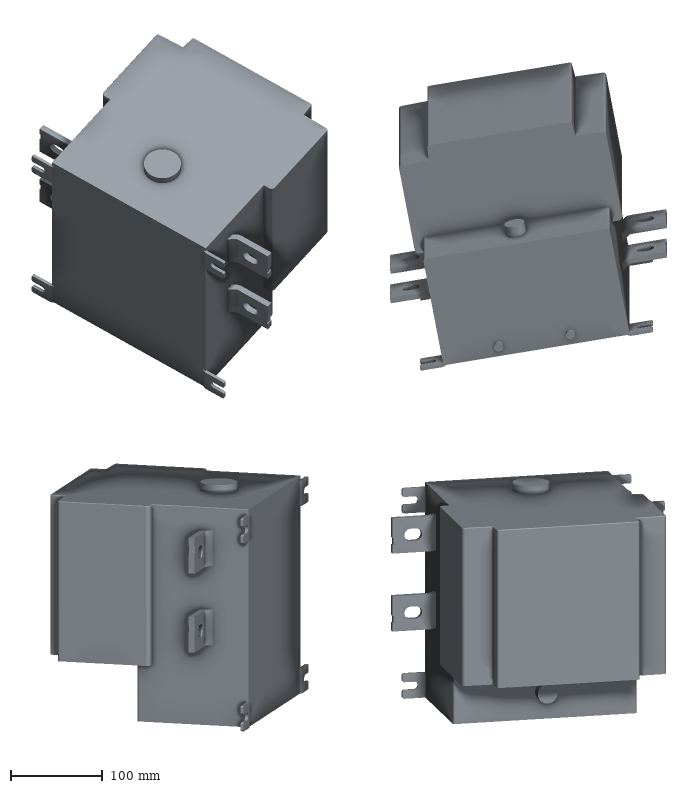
import cadquery as cq
import math

BODY_WIDTH = 206.0
BODY_HEIGHT = 241.5
BODY_FRONT = 1.8
BODY_BACK = 128.0
BODY_BACK_RADIUS = 2.5
TOP_RADIUS = 1.0

COVER_BOTTOM = 64.2
COVER_WIDTH = 229.2
COVER_FRONT = 110.3
SHOULDER_OUTER_Y = 215.2
SHOULDER_INNER_Y = 216.0
COVER_BACK = 233.2
RAISED_ROOT_WIDTH = 162.0
RAISED_BACK_WIDTH = 159.5
COVER_FRONT_RADIUS = 4.5
SHOULDER_RADIUS = 3.5
RAISED_RADIUS = 2.0

SELECTION_MARGIN = 0.3

BUTTON_DIAMETER = 40.3
BUTTON_HEIGHT = 8.5
BUTTON_Y = 64.8
KNOB_DIAMETER = 22.0
KNOB_LENGTH = 12.2
KNOB_Z = 31.0
PIN_DIAMETER = 10.0
PIN_LENGTH = 5.0
PIN_SPACING = 79.5
PIN_Y = 14.0

TERMINAL_TIP_X = 152.8
TERMINAL_BEND_X = 112.8
TERMINAL_FRONT = 48.5
TERMINAL_THICKNESS = 6.7
TERMINAL_BEND_ANGLE = 38.0
TERMINAL_BEND_RADIUS = 4.3
TERMINAL_TAIL = 13.8
TERMINAL_HEIGHT = 39.5
TERMINAL_CENTERS_Z = (109.0, 196.5)
TERMINAL_HOLE_X = 129.5
TERMINAL_HOLE_LENGTH = 19.5
TERMINAL_HOLE_HEIGHT = 14.0
TIP_NOTCH_DEPTH = 1.2
TIP_NOTCH_HEIGHT = 8.3
TIP_NOTCH_OFFSET = 6.5

FOOT_TIP_X = 128.7
FOOT_BEND_X = 105.5
FOOT_THICKNESS = 3.5
FOOT_BEND_ANGLE = 25.0
FOOT_BEND_RADIUS = 5.0
FOOT_TAIL = 9.2
FOOT_HEIGHT = 28.0
FOOT_CORNER_RADIUS = 2.0
FOOT_SLOT_END_X = 111.0
FOOT_SLOT_WIDTH = 9.0
UPPER_FOOT_TOP = 236.0
FOOT_BOTTOMS_Z = (0, UPPER_FOOT_TOP - FOOT_HEIGHT)


def make_body():
    depth = BODY_BACK - BODY_FRONT
    body = cq.Workplane("XY").box(BODY_WIDTH, depth, BODY_HEIGHT, centered=(True, False, False))
    body = body.translate((0, BODY_FRONT, 0))
    return body.edges("|Z and >Y").fillet(BODY_BACK_RADIUS)


def make_cover():
    right_side = [
        (COVER_WIDTH / 2, COVER_FRONT),
        (COVER_WIDTH / 2, SHOULDER_OUTER_Y),
        (RAISED_ROOT_WIDTH / 2, SHOULDER_INNER_Y),
        (RAISED_BACK_WIDTH / 2, COVER_BACK),
    ]
    left_side = [(-x, y) for x, y in reversed(right_side)]
    cover = cq.Workplane("XY").workplane(offset=COVER_BOTTOM).polyline(right_side + left_side).close()
    cover = cover.extrude(BODY_HEIGHT - COVER_BOTTOM)
    cover = cover.edges("|Z and <Y").fillet(COVER_FRONT_RADIUS)
    cover = cover.edges("|Z and >Y").fillet(RAISED_RADIUS)
    shoulder_corners = cq.selectors.BoxSelector(
        (-COVER_WIDTH, SHOULDER_OUTER_Y - SELECTION_MARGIN, 0),
        (COVER_WIDTH, SHOULDER_OUTER_Y + SELECTION_MARGIN, BODY_HEIGHT),
    )
    cover = cover.edges("|Z").edges(shoulder_corners).fillet(SHOULDER_RADIUS)
    return cover


def make_housing():
    """Body and cover joined; the top rim is rounded except along the front edge."""
    housing = make_body().union(make_cover())
    return housing.faces(">Z").edges("not <Y").fillet(TOP_RADIUS)


def make_bent_plate(length, thickness, bend_angle, bend_radius, tail, height):
    """Plate standing on Z = 0 with its bend at X = 0; it runs to +X and its tail curls toward -X, -Y.

    The face on the inside of the bend lies on Y = 0.
    """
    angle = math.radians(bend_angle)

    def on_bend(radius, turn):
        return (-radius * math.sin(turn), radius * math.cos(turn) - bend_radius)

    outer_radius = bend_radius + thickness
    tail_x = -tail * math.cos(angle)
    tail_y = -tail * math.sin(angle)
    return (
        cq.Workplane("XY")
        .moveTo(length, 0)
        .lineTo(0, 0)
        .threePointArc(on_bend(bend_radius, angle / 2), on_bend(bend_radius, angle))
        .line(tail_x, tail_y)
        .line(-thickness * math.sin(angle), thickness * math.cos(angle))
        .lineTo(*on_bend(outer_radius, angle))
        .threePointArc(on_bend(outer_radius, angle / 2), (0, thickness))
        .lineTo(length, thickness)
        .close()
        .extrude(height)
    )


def make_terminal():
    """Right-hand terminal, centred on Z = 0."""
    plate = make_bent_plate(
        TERMINAL_TIP_X - TERMINAL_BEND_X,
        TERMINAL_THICKNESS,
        TERMINAL_BEND_ANGLE,
        TERMINAL_BEND_RADIUS,
        TERMINAL_TAIL,
        TERMINAL_HEIGHT,
    ).translate((TERMINAL_BEND_X, TERMINAL_FRONT, -TERMINAL_HEIGHT / 2))
    hole = cq.Workplane("XZ", origin=(TERMINAL_HOLE_X, TERMINAL_FRONT, 0))
    hole = hole.slot2D(TERMINAL_HOLE_LENGTH, TERMINAL_HOLE_HEIGHT).extrude(-TERMINAL_THICKNESS)
    notch = cq.Workplane("XZ", origin=(TERMINAL_TIP_X, TERMINAL_FRONT, -TIP_NOTCH_OFFSET))
    notch = notch.rect(2 * TIP_NOTCH_DEPTH, TIP_NOTCH_HEIGHT).extrude(-TERMINAL_THICKNESS)
    return plate.cut(hole).cut(notch)


def make_foot():
    """Right-hand mounting foot, standing on Z = 0."""
    plate = make_bent_plate(
        FOOT_TIP_X - FOOT_BEND_X,
        FOOT_THICKNESS,
        FOOT_BEND_ANGLE,
        FOOT_BEND_RADIUS,
        FOOT_TAIL,
        FOOT_HEIGHT,
    )
    plate = plate.mirror("XZ").translate((FOOT_BEND_X, FOOT_THICKNESS, 0))
    slot_radius = FOOT_SLOT_WIDTH / 2
    slot_center_x = FOOT_SLOT_END_X + slot_radius
    slot = (
        cq.Workplane("XZ")
        .moveTo(FOOT_TIP_X, FOOT_HEIGHT / 2 - slot_radius)
        .lineTo(slot_center_x, FOOT_HEIGHT / 2 - slot_radius)
        .threePointArc((FOOT_SLOT_END_X, FOOT_HEIGHT / 2), (slot_center_x, FOOT_HEIGHT / 2 + slot_radius))
        .lineTo(FOOT_TIP_X, FOOT_HEIGHT / 2 + slot_radius)
        .close()
        .extrude(-FOOT_THICKNESS)
    )
    return plate.cut(slot).faces(">X").edges("|Y").fillet(FOOT_CORNER_RADIUS)


def make_button():
    button = cq.Workplane("XY", origin=(0, BUTTON_Y, BODY_HEIGHT))
    return button.circle(BUTTON_DIAMETER / 2).extrude(BUTTON_HEIGHT)


def make_knob():
    knob = cq.Workplane("XZ", origin=(0, BODY_BACK, KNOB_Z))
    return knob.circle(KNOB_DIAMETER / 2).extrude(-KNOB_LENGTH)


def make_pins():
    centers = [(-PIN_SPACING / 2, PIN_Y), (PIN_SPACING / 2, PIN_Y)]
    return cq.Workplane("XY").pushPoints(centers).circle(PIN_DIAMETER / 2).extrude(-PIN_LENGTH)


result = make_housing().union(make_button()).union(make_knob()).union(make_pins())

right_terminal = make_terminal()
left_terminal = right_terminal.mirror("YZ").mirror("XY")
for center_z in TERMINAL_CENTERS_Z:
    for terminal in (right_terminal, left_terminal):
        result = result.union(terminal.translate((0, 0, center_z)))

right_foot = make_foot()
left_foot = right_foot.mirror("YZ")
for bottom_z in FOOT_BOTTOMS_Z:
    for foot in (right_foot, left_foot):
        result = result.union(foot.translate((0, 0, bottom_z)))